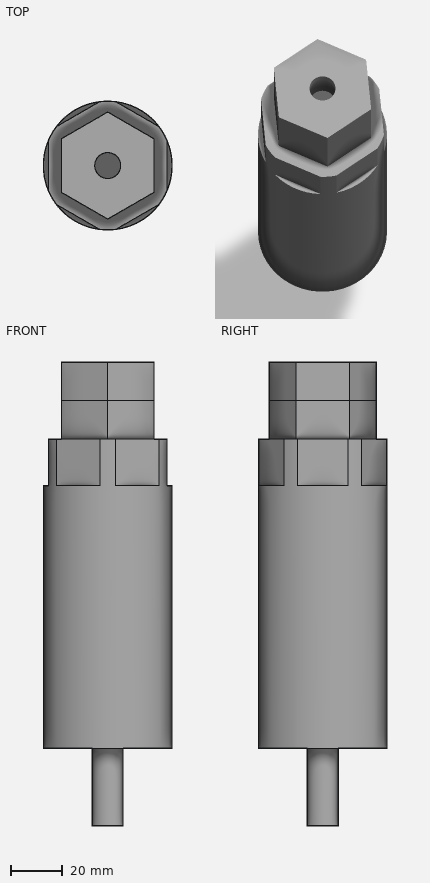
import cadquery as cq
import math

total_height = 180.0
rod_length = 30.0
nut_height = 15.0
neck_height = nut_height
wrench_flat_height = 18.0

barrel_diameter = 50.0
wrench_flat_width = 46.0
hex_width = 36.0
rod_diameter = 12.0
bore_diameter = 10.0

barrel_bottom = rod_length
nut_bottom = total_height - nut_height
barrel_top = nut_bottom - neck_height
wrench_flat_bottom = barrel_top - wrench_flat_height
barrel_height = barrel_top - barrel_bottom


def hexagonal_prism(across_flats, bottom, height):
    """Hexagonal prism on the Z axis with two of its flats facing +X and -X."""
    across_corners = across_flats / math.cos(math.pi / 6)
    return (
        cq.Workplane("XY", origin=(0, 0, bottom))
        .transformed(rotate=(0, 0, 30))
        .polygon(6, across_corners)
        .extrude(height)
    )


def round_bar(diameter, bottom, height):
    """Cylinder on the Z axis."""
    return cq.Workplane("XY", origin=(0, 0, bottom)).circle(diameter / 2).extrude(height)


def cut_wrench_flats(barrel):
    """Cut six flats around the upper end of the barrel."""
    blank = round_bar(barrel_diameter, wrench_flat_bottom, wrench_flat_height)
    kept_core = hexagonal_prism(wrench_flat_width, wrench_flat_bottom, wrench_flat_height)
    return barrel.cut(blank.cut(kept_core))


def make_housing():
    """Barrel with wrench flats, a hexagonal neck above and a rod below."""
    barrel = cut_wrench_flats(round_bar(barrel_diameter, barrel_bottom, barrel_height))
    neck = hexagonal_prism(hex_width, barrel_top, neck_height)
    rod = round_bar(rod_diameter, 0, rod_length)
    return barrel.union(neck).union(rod)


def make_nut():
    """Hexagonal nut resting on the neck, with a bore right through it."""
    blank = hexagonal_prism(hex_width, nut_bottom, nut_height)
    return blank.cut(round_bar(bore_diameter, nut_bottom, nut_height))


housing = make_housing()
nut = make_nut()

result = cq.Compound.makeCompound([housing.solids().val(), nut.solids().val()])